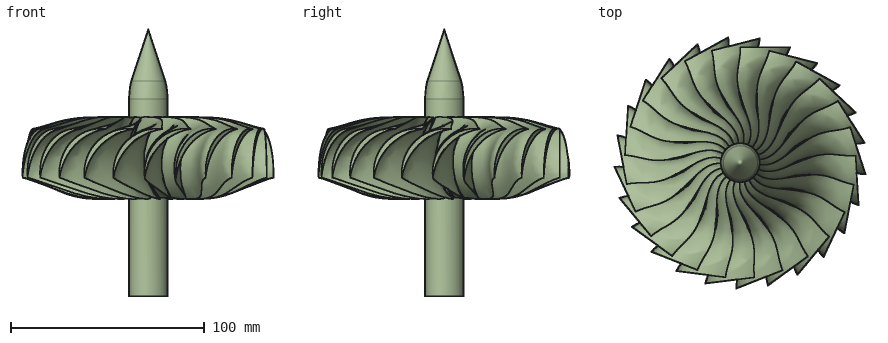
import cadquery as cq
import math

height = 137.7
shaft_radius = 10.0
shoulder_start = 102.0
shoulder_end = 111.1
shoulder_end_radius = 8.8
shoulder_bulge = 0.3

blade_count = 25
blade_pitch = 360.0 / blade_count
blade_bottom = 50.5
blade_top = 92.5
tip_bottom = 61.3
tip_top = 86.3
knee_drop = 0.3
flank_swell = 0.5
flank_top = (blade_top + tip_top) / 2 + flank_swell
flank_bottom = (blade_bottom + tip_bottom) / 2 - flank_swell

blade_sections = [
    (6.9, 2.0, blade_top, -2.0, blade_bottom, 4.8, 0.7),
    (19.3, 5.0, blade_top, -3.5, blade_bottom, 8.3, 1.1),
    (34.4, 0.0, blade_top - knee_drop, 1.1, blade_bottom + knee_drop, 6.9, 1.7),
    (47.0, -1.4, flank_top, 13.6, flank_bottom, 7.7, 2.2),
    (59.6, 0.1, tip_top, 25.6, tip_bottom, 7.3, 2.8),
]


def make_shaft():
    """Revolve the shaft, its rounded shoulder and the conical nose."""
    shoulder_middle = (
        (shaft_radius + shoulder_end_radius) / 2 + shoulder_bulge,
        (shoulder_start + shoulder_end) / 2,
    )
    return (
        cq.Workplane("XZ")
        .lineTo(shaft_radius, 0)
        .lineTo(shaft_radius, shoulder_start)
        .threePointArc(shoulder_middle, (shoulder_end_radius, shoulder_end))
        .lineTo(0, height)
        .close()
        .revolve(360, (0, 0), (0, 1))
    )


def section_wire(distance, top_x, top_z, bottom_x, bottom_z, bow, thickness):
    """Return a crescent of two arcs in the plane y = distance."""
    chord_x = bottom_x - top_x
    chord_z = top_z - bottom_z
    chord = math.hypot(chord_x, chord_z)
    top = cq.Vector(top_x, distance, top_z)
    bottom = cq.Vector(bottom_x, distance, bottom_z)
    middle = (top + bottom) * 0.5
    outward = cq.Vector(chord_z / chord, 0, chord_x / chord)
    convex = middle + outward * (bow + thickness / 2)
    concave = middle + outward * (bow - thickness / 2)
    return cq.Wire.assembleEdges([
        cq.Edge.makeThreePointArc(top, convex, bottom),
        cq.Edge.makeThreePointArc(bottom, concave, top),
    ])


def make_blade():
    """Loft one twisted blade smoothly through its sections."""
    return cq.Solid.makeLoft([section_wire(*section) for section in blade_sections])


blade = make_blade()
axis_start = cq.Vector(0, 0, 0)
axis_end = cq.Vector(0, 0, 1)
blades = [blade.rotate(axis_start, axis_end, i * blade_pitch) for i in range(blade_count)]
result = cq.Workplane(make_shaft().val().fuse(*blades))